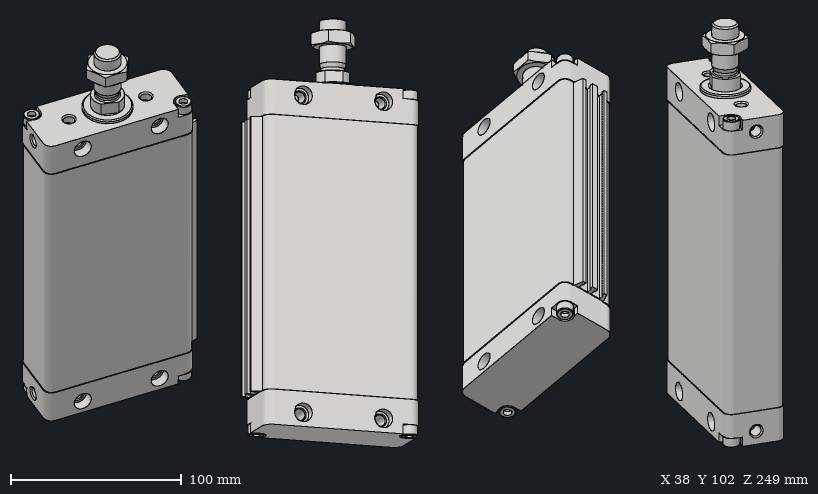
import cadquery as cq
import math

overall_height = 249.0
cap_height = 21.2
front_face_z = 207.0
barrel_bottom_z = cap_height
barrel_top_z = front_face_z - cap_height
barrel_height = barrel_top_z - barrel_bottom_z

cap_width = 38.0
cap_depth = 96.4
corner_radius = 5.5

barrel_inset = 0.5
barrel_width = cap_width - 2 * barrel_inset
barrel_depth = cap_depth - 2 * barrel_inset
barrel_corner_radius = corner_radius - barrel_inset

overall_depth = 102.0
rail_top_y = overall_depth - cap_depth / 2
pad_height = 1.0
rail_root_y = barrel_depth / 2
pad_top_y = rail_root_y + pad_height
rail_base_half_width = 11.2
rail_tip_half_width = 9.0
side_lip_edge = 7.0
side_wall_edge = 7.7
lip_height = 2.2
lip_y = rail_top_y - lip_height
tee_head_half_width = 2.0
tee_stem_half_width = 1.2

screw_x = cap_width / 2 - corner_radius
screw_y = cap_depth / 2 - corner_radius
screw_head_diameter = 10.0
screw_head_chamfer = 0.5
screw_recess_diameter = 11.5
screw_recess_depth = 6.0
recess_slot_half_width = 5.0
socket_diameter = 5.0
socket_depth = 3.0
socket_tip_depth = 1.5

thread_diameter = 6.7
thread_mouth_diameter = 8.5
thread_mouth_chamfer = (thread_mouth_diameter - thread_diameter) / 2
thread_depth = 10.0
pilot_diameter = 5.0
pilot_depth = 12.5
side_hole_offset = 25.0
hole_inset = 8.5
counterbore_diameter = 11.0
counterbore_depth = 6.5
cross_hole_mouth_diameter = 8.0
cross_hole_chamfer = (cross_hole_mouth_diameter - thread_diameter) / 2

collar_diameter = 30.0
collar_height = 2.2
collar_chamfer = 0.7

rod_diameter = 20.0
rod_shoulder_z = 217.1
flat_spacing = 17.0
flat_angle = -15.0
neck_diameter = 14.0
neck_foot_chamfer = 0.7
neck_top_z = 219.5
rod_thread_diameter = 16.0
rod_thread_bottom_z = 222.4
rod_tip_chamfer = 1.0

nut_across_flats = 24.0
nut_across_corners = nut_across_flats / math.cos(math.radians(30))
nut_height = 8.2
nut_bottom_z = 232.8
nut_chamfer_diameter = 23.0
nut_chamfer_angle = 20.0


def cylinder(diameter, bottom_z, height, x=0.0, y=0.0):
    return cq.Workplane("XY", origin=(x, y, bottom_z)).circle(diameter / 2).extrude(height)


def threaded_hole():
    """Cutter for a stepped hole with a chamfered mouth, its mouth at the origin, going down -Z."""
    bore_radius = thread_diameter / 2
    mouth_radius = thread_mouth_diameter / 2
    pilot_radius = pilot_diameter / 2
    return (
        cq.Workplane("XZ")
        .polyline([
            (0, 0),
            (mouth_radius, 0),
            (bore_radius, -thread_mouth_chamfer),
            (bore_radius, -thread_depth),
            (pilot_radius, -thread_depth),
            (pilot_radius, -pilot_depth),
            (0, -pilot_depth),
        ])
        .close()
        .revolve(360, (0, 0, 0), (0, 1, 0))
    )


def box(x_min, x_max, y_min, y_max, bottom_z, height):
    return (
        cq.Workplane("XY", origin=((x_min + x_max) / 2, (y_min + y_max) / 2, bottom_z))
        .rect(x_max - x_min, y_max - y_min)
        .extrude(height)
    )


def corner_recess():
    """Cutter for the +X +Y screw recess: round inside, open to both outer sides."""
    radius = screw_recess_diameter / 2
    floor_z = cap_height - screw_recess_depth
    side_x = cap_width / 2
    side_y = cap_depth / 2
    pocket = cylinder(screw_recess_diameter, floor_z, screw_recess_depth, screw_x, screw_y)
    opening_to_x = box(screw_x, side_x, screw_y - radius, side_y, floor_z, screw_recess_depth)
    slot_x = screw_x - recess_slot_half_width
    opening_to_y = box(slot_x, side_x, screw_y, side_y, floor_z, screw_recess_depth)
    return pocket.union(opening_to_x).union(opening_to_y)


def screw_head():
    """Screw head in the +X +Y corner, with a socket that ends in a cone."""
    head_radius = screw_head_diameter / 2
    socket_radius = socket_diameter / 2
    return (
        cq.Workplane("XZ")
        .polyline([
            (0, -screw_recess_depth),
            (head_radius, -screw_recess_depth),
            (head_radius, -screw_head_chamfer),
            (head_radius - screw_head_chamfer, 0),
            (socket_radius, 0),
            (socket_radius, -socket_depth),
            (0, -socket_depth - socket_tip_depth),
        ])
        .close()
        .revolve(360, (0, 0, 0), (0, 1, 0))
        .translate((screw_x, screw_y, cap_height))
    )


def cross_hole():
    """Cutter along the X axis: a through bore, chamfered and counterbored at both ends."""
    bore_radius = thread_diameter / 2
    mouth_radius = cross_hole_mouth_diameter / 2
    counterbore_radius = counterbore_diameter / 2
    side_x = cap_width / 2
    floor_x = side_x - counterbore_depth
    half = (
        cq.Workplane("XY")
        .polyline([
            (0, 0),
            (0, bore_radius),
            (floor_x - cross_hole_chamfer, bore_radius),
            (floor_x, mouth_radius),
            (floor_x, counterbore_radius),
            (side_x, counterbore_radius),
            (side_x, 0),
        ])
        .close()
        .revolve(360, (0, 0, 0), (1, 0, 0))
    )
    return half.union(half.mirror("YZ"))


def cap_body():
    """End cap with its inner face at Z = 0 and its free face upwards."""
    cap = (
        cq.Workplane("XY")
        .rect(cap_width, cap_depth)
        .extrude(cap_height)
        .edges("|Z")
        .fillet(corner_radius)
    )
    hole_z = cap_height - hole_inset

    for turn in (0, 180):
        cap = cap.cut(corner_recess().rotate((0, 0, 0), (0, 0, 1), turn))
        cap = cap.union(screw_head().rotate((0, 0, 0), (0, 0, 1), turn))

    for y in (-side_hole_offset, side_hole_offset):
        cap = cap.cut(cross_hole().translate((0, y, hole_z)))

    port = threaded_hole().rotate((0, 0, 0), (1, 0, 0), 90)
    return cap.cut(port.translate((0, -cap_depth / 2, hole_z)))


def front_cap_body():
    cap = cap_body()
    collar = cylinder(collar_diameter, cap_height, collar_height).faces(">Z").chamfer(collar_chamfer)
    cap = cap.union(collar)
    cap = cap.cut(cylinder(rod_diameter, 0, cap_height + collar_height))
    for y in (-side_hole_offset, side_hole_offset):
        cap = cap.cut(threaded_hole().translate((0, y, cap_height)))
    return cap.translate((0, 0, barrel_top_z))


def rear_cap_body():
    """Same cap turned over end for end, with the port and screws kept on the same sides."""
    return cap_body().mirror("XY").translate((0, 0, barrel_bottom_z))


def rail(outline):
    """Extrude a rail section over the full height of the barrel."""
    return cq.Workplane("XY", origin=(0, 0, barrel_bottom_z)).polyline(outline).close().extrude(barrel_height)


def side_rail():
    """Outer sensor rail on the +X side, with a sloping flank and a small lip."""
    return rail([
        (side_wall_edge, rail_root_y),
        (side_wall_edge, lip_y),
        (side_lip_edge, lip_y),
        (side_lip_edge, rail_top_y),
        (rail_tip_half_width, rail_top_y),
        (rail_base_half_width, rail_root_y),
    ])


def tee_rail():
    return rail([
        (-tee_stem_half_width, rail_root_y),
        (tee_stem_half_width, rail_root_y),
        (tee_stem_half_width, lip_y),
        (tee_head_half_width, lip_y),
        (tee_head_half_width, rail_top_y),
        (-tee_head_half_width, rail_top_y),
        (-tee_head_half_width, lip_y),
        (-tee_stem_half_width, lip_y),
    ])


def rail_pad():
    """Low pad that forms the floor of the two slots between the rails."""
    return box(-side_wall_edge, side_wall_edge, rail_root_y, pad_top_y, barrel_bottom_z, barrel_height)


def barrel_body():
    barrel = (
        cq.Workplane("XY", origin=(0, 0, barrel_bottom_z))
        .rect(barrel_width, barrel_depth)
        .extrude(barrel_height)
        .edges("|Z")
        .fillet(barrel_corner_radius)
    )
    barrel = barrel.union(rail_pad())
    plus_x_rail = side_rail()
    for added_rail in (plus_x_rail, plus_x_rail.mirror("YZ"), tee_rail()):
        barrel = barrel.union(added_rail)
    return barrel


def rod_body():
    rod_radius = rod_diameter / 2
    neck_radius = neck_diameter / 2
    thread_radius = rod_thread_diameter / 2
    rod = (
        cq.Workplane("XZ")
        .polyline([
            (0, barrel_top_z),
            (rod_radius, barrel_top_z),
            (rod_radius, rod_shoulder_z),
            (neck_radius + neck_foot_chamfer, rod_shoulder_z),
            (neck_radius, rod_shoulder_z + neck_foot_chamfer),
            (neck_radius, neck_top_z),
            (thread_radius, rod_thread_bottom_z),
            (thread_radius, overall_height - rod_tip_chamfer),
            (thread_radius - rod_tip_chamfer, overall_height),
            (0, overall_height),
        ])
        .close()
        .revolve(360, (0, 0, 0), (0, 1, 0))
    )
    flats_bottom_z = front_face_z + collar_height
    flats_height = rod_shoulder_z - flats_bottom_z
    section = cq.Workplane("XY", origin=(0, 0, flats_bottom_z))
    keep = section.rect(flat_spacing, rod_diameter).extrude(flats_height)
    waste = section.rect(2 * rod_diameter, 2 * rod_diameter).extrude(flats_height).cut(keep)
    return rod.cut(waste.rotate((0, 0, 0), (0, 0, 1), flat_angle))


def nut_body():
    """Hexagon nut with flats facing +X and -X and both ends chamfered."""
    nut = (
        cq.Workplane("XY", origin=(0, 0, nut_bottom_z))
        .polygon(6, nut_across_corners)
        .extrude(nut_height)
        .rotate((0, 0, 0), (0, 0, 1), 30)
    )
    outer_radius = nut_across_corners / 2
    face_radius = nut_chamfer_diameter / 2
    chamfer_drop = (outer_radius - face_radius) * math.tan(math.radians(nut_chamfer_angle))
    nut_top_z = nut_bottom_z + nut_height
    envelope = (
        cq.Workplane("XZ")
        .polyline([
            (0, nut_bottom_z),
            (face_radius, nut_bottom_z),
            (outer_radius, nut_bottom_z + chamfer_drop),
            (outer_radius, nut_top_z - chamfer_drop),
            (face_radius, nut_top_z),
            (0, nut_top_z),
        ])
        .close()
        .revolve(360, (0, 0, 0), (0, 1, 0))
    )
    return nut.intersect(envelope).cut(cylinder(rod_thread_diameter, nut_bottom_z, nut_height))


barrel = barrel_body()
front_cap = front_cap_body()
rear_cap = rear_cap_body()
piston_rod = rod_body()
nut = nut_body()

result = cq.Compound.makeCompound([
    barrel.val(),
    front_cap.val(),
    rear_cap.val(),
    piston_rod.val(),
    nut.val(),
])